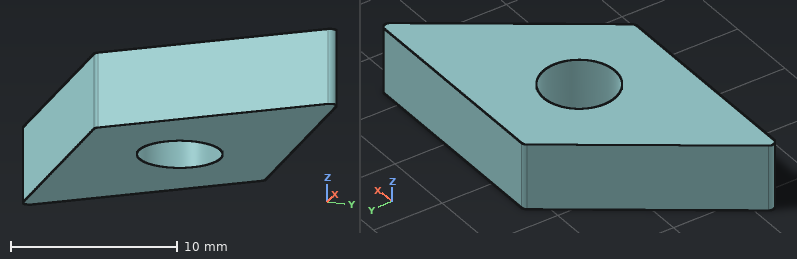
import cadquery as cq
import math

inscribed_diameter = 12.7
thickness = 4.76
acute_angle = 55.0
nose_radius = 0.4
hole_diameter = 5.16

angle = math.radians(acute_angle)
side_length = inscribed_diameter / math.sin(angle)
slant_run = side_length * math.cos(angle)
half_length = (side_length + slant_run) / 2
half_width = inscribed_diameter / 2


def rhombus_body():
    """Rhombic plate with two sides parallel to X, centred on the hole axis."""
    corners = [
        (-half_length, -half_width),
        (half_length - slant_run, -half_width),
        (half_length, half_width),
        (slant_run - half_length, half_width),
    ]
    plate = cq.Workplane("XY").polyline(corners).close().extrude(thickness)
    return plate.edges("|Z").fillet(nose_radius)


def clamping_hole():
    """Plain cylinder through the full thickness."""
    return cq.Workplane("XY").circle(hole_diameter / 2).extrude(thickness)


result = rhombus_body().cut(clamping_hole())